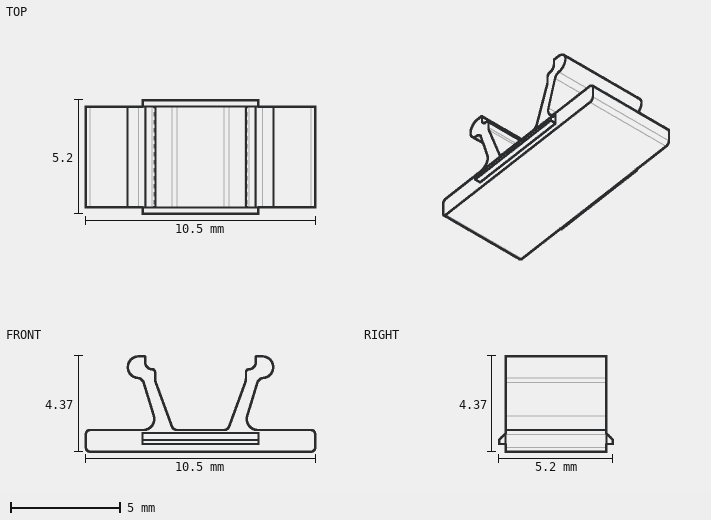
import cadquery as cq
import math

base_length = 10.5
body_width = 4.6
base_height = 1.0
base_edge_radius = 0.2

rail_length = 5.3
rail_depth = 0.3
rail_bottom = 0.35
rail_edge_height = 0.55
rail_top = rail_edge_height + rail_depth

total_height = 4.37
head_radius = 0.5
head_x = 2.83
head_z = total_height - head_radius
lip_x = 2.52
shelf_z = 3.78
inner_wall_bottom = 3.25
inner_foot_x = 1.245
outer_foot_x = 1.944
outer_lean = math.radians(17)

outer_foot_radius = 0.5
inner_foot_radius = 0.25
neck_radius = 0.3
wall_bend_radius = 0.5
lip_edge_radius = 0.05
lip_root_radius = 0.3
shelf_edge_radius = 0.15

shelf_middle_x = lip_x - lip_root_radius
inner_wall_x = shelf_middle_x - shelf_edge_radius


def head_joint():
    """Point (x, z) where the sloping outer face of the arm enters the round head."""
    lean_x = math.sin(outer_lean)
    lean_z = math.cos(outer_lean)
    to_head_x = head_x - outer_foot_x
    to_head_z = head_z - base_height
    along = to_head_x * lean_x + to_head_z * lean_z
    across = to_head_x * lean_z - to_head_z * lean_x
    reach = along - math.sqrt(head_radius**2 - across**2)
    return outer_foot_x + reach * lean_x, base_height + reach * lean_z


def make_base():
    base = cq.Workplane("XY").box(base_length, body_width, base_height, centered=(True, True, False))
    return base.edges("|Y and (<X or >X)").fillet(base_edge_radius)


def make_arm():
    """Arm on the +X side, rooted inside the base, with the shelf rounded and its other corners still sharp."""
    root_z = base_height / 2
    return (
        cq.Workplane("XZ")
        .moveTo(inner_foot_x, root_z)
        .lineTo(inner_foot_x, base_height)
        .lineTo(inner_wall_x, inner_wall_bottom)
        .lineTo(inner_wall_x, shelf_z - shelf_edge_radius)
        .tangentArcPoint((shelf_middle_x, shelf_z), relative=False)
        .tangentArcPoint((lip_x, shelf_z + lip_root_radius), relative=False)
        .lineTo(lip_x, total_height)
        .lineTo(head_x, total_height)
        .threePointArc((head_x + head_radius, head_z), head_joint())
        .lineTo(outer_foot_x, base_height)
        .lineTo(outer_foot_x, root_z)
        .close()
        .extrude(body_width / 2, both=True)
    )


def fillet_arm_corners(body):
    """Round the feet, necks, wall bends and lip edges of both arms."""
    edge_fillets = [
        (outer_foot_x, base_height, outer_foot_radius),
        (inner_foot_x, base_height, inner_foot_radius),
        (*head_joint(), neck_radius),
        (inner_wall_x, inner_wall_bottom, wall_bend_radius),
        (lip_x, total_height, lip_edge_radius),
    ]
    for x, z, radius in edge_fillets:
        for side in (-1, 1):
            edge = cq.selectors.NearestToPointSelector((side * x, 0, z))
            body = body.edges("|Y").edges(edge).fillet(radius)
    return body


def make_rails():
    """One bar through the base whose two ends stand out as the rails."""
    face_y = body_width / 2
    tip_y = face_y + rail_depth
    return (
        cq.Workplane("YZ")
        .moveTo(-tip_y, rail_bottom)
        .lineTo(tip_y, rail_bottom)
        .lineTo(tip_y, rail_edge_height)
        .lineTo(face_y, rail_top)
        .lineTo(-face_y, rail_top)
        .lineTo(-tip_y, rail_edge_height)
        .close()
        .extrude(rail_length / 2, both=True)
    )


arm = make_arm()
clip = make_base().union(arm).union(arm.mirror("YZ"))
result = fillet_arm_corners(clip).union(make_rails())